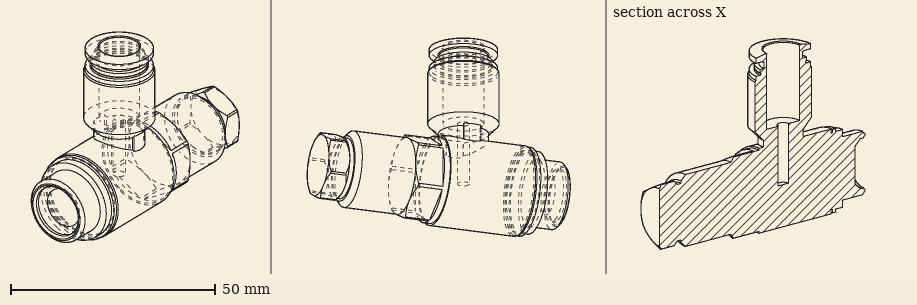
import cadquery as cq
import math


THREAD_END = 6.95
FLANGE_END = 9.05
WASHER_END = 10.05
BARREL_START = 10.5
BARREL_END = 32.6
HEX_START = 34.1
HEX_END = 41.2
SLEEVE_CHAMFER = 1.4
SLEEVE_END = 56.55
NUT_START = 57.7
LENGTH = 63.2

THREAD_DIAMETER = 16.75
FLANGE_DIAMETER = 20.5
WASHER_DIAMETER = 22.0
GROOVE_DIAMETER = 20.15
BARREL_DIAMETER = 22.4
COLLAR_DIAMETER = 21.4
SLEEVE_DIAMETER = 18.95
REAR_NECK_DIAMETER = 15.0
THREAD_CHAMFER = (THREAD_DIAMETER - 15.0) / 2

HEX_FLATS = SLEEVE_DIAMETER
HEX_CORNERS = COLLAR_DIAMETER
HEX_CHAMFER_LENGTH = 0.75
NUT_FLATS = 15.0
NUT_CORNERS = 17.0
NUT_FRONT_CHAMFER = 0.95
NUT_REAR_CHAMFER = 0.6
NUT_CHAMFER_DEPTH = 0.95

SOCKET_MOUTH_DIAMETER = 14.2
SOCKET_DIAMETER = 13.0
SOCKET_FLOOR_DIAMETER = 10.0
SOCKET_LEAD_IN = (SOCKET_MOUTH_DIAMETER - SOCKET_DIAMETER) / 2
SOCKET_STRAIGHT_END = 1.4
SOCKET_DEPTH = 3.05

BRANCH_Y = 25.15
BRANCH_NECK_DIAMETER = 12.4
BRANCH_DIAMETER = 17.5
RIM_DIAMETER = 16.8
RING_DIAMETER = 14.35
RING_GROOVE_DIAMETER = 13.7
STEM_DIAMETER = 12.0
STEM_FLARE = 0.25
NECK_TOP = 12.95
CONE_TOP = 15.6
BRANCH_SHOULDER = 28.75
RIM_START = 29.15
RIM_TOP = 30.2
RING_START = 30.8
RING_GROOVE = (RIM_TOP + RING_START) / 2
RING_TOP = 31.7
DISC_START = 33.5
DISC_TOP = 34.95
BRANCH_TOP = 35.5

BORE_DIAMETER = 10.0
BORE_MOUTH_DIAMETER = 10.5
BORE_CHAMFER = (BORE_MOUTH_DIAMETER - BORE_DIAMETER) / 2
BORE_FLOOR = CONE_TOP
PASSAGE_DIAMETER = 3.0

RIB_DIAMETER = 13.3
RIB_WIDTH = 4.4


def turned_on_y(profile):
    """Revolve (radius, y) points about the body axis."""
    points = [(0, profile[0][1])] + profile + [(0, profile[-1][1])]
    return cq.Workplane("XY").polyline(points).close().revolve(360, (0, 0), (0, 1))


def turned_on_branch(profile):
    """Revolve (radius, z) points about the branch axis."""
    points = [(0, profile[0][1])] + profile + [(0, profile[-1][1])]
    blank = cq.Workplane("XZ").polyline(points).close().revolve(360, (0, 0), (0, 1))
    return blank.translate((0, BRANCH_Y, 0))


def cylinder_profile(diameter, start, end):
    return [(diameter / 2, start), (diameter / 2, end)]


def hexagon(flats, start, end, envelope):
    """Hexagonal bar with corners up and down, trimmed by a turned envelope."""
    bar = (
        cq.Workplane("XZ", origin=(0, start, 0))
        .transformed(rotate=(0, 0, 90))
        .polygon(6, flats / math.cos(math.pi / 6))
        .extrude(start - end)
    )
    return bar.intersect(turned_on_y(envelope))


def make_body():
    thread_radius = THREAD_DIAMETER / 2
    sleeve_radius = SLEEVE_DIAMETER / 2
    profile = [(thread_radius - THREAD_CHAMFER, 0), (thread_radius, THREAD_CHAMFER), (thread_radius, THREAD_END)]
    profile += cylinder_profile(FLANGE_DIAMETER, THREAD_END, FLANGE_END)
    profile += cylinder_profile(WASHER_DIAMETER, FLANGE_END, WASHER_END)
    profile += cylinder_profile(GROOVE_DIAMETER, WASHER_END, BARREL_START)
    profile += cylinder_profile(BARREL_DIAMETER, BARREL_START, BARREL_END)
    profile += cylinder_profile(COLLAR_DIAMETER, BARREL_END, HEX_START)
    profile += cylinder_profile(REAR_NECK_DIAMETER, HEX_START, HEX_END)
    profile += cylinder_profile(SLEEVE_DIAMETER, HEX_END, SLEEVE_END - SLEEVE_CHAMFER)
    profile.append((sleeve_radius - SLEEVE_CHAMFER, SLEEVE_END))
    profile += cylinder_profile(REAR_NECK_DIAMETER, SLEEVE_END, NUT_START)
    return turned_on_y(profile)


def make_body_hexagon():
    envelope = cylinder_profile(HEX_CORNERS, HEX_START, HEX_END - HEX_CHAMFER_LENGTH)
    envelope.append((SLEEVE_DIAMETER / 2, HEX_END))
    return hexagon(HEX_FLATS, HEX_START, HEX_END, envelope)


def make_rear_nut():
    end_radius = NUT_CORNERS / 2 - NUT_CHAMFER_DEPTH
    envelope = [(end_radius, NUT_START)]
    envelope += cylinder_profile(NUT_CORNERS, NUT_START + NUT_FRONT_CHAMFER, LENGTH - NUT_REAR_CHAMFER)
    envelope.append((end_radius, LENGTH))
    return hexagon(NUT_FLATS, NUT_START, LENGTH, envelope)


def make_branch():
    profile = cylinder_profile(BRANCH_NECK_DIAMETER, 0, NECK_TOP)
    profile += cylinder_profile(BRANCH_DIAMETER, CONE_TOP, BRANCH_SHOULDER)
    profile += cylinder_profile(RIM_DIAMETER, RIM_START, RIM_TOP)
    profile += [(RING_DIAMETER / 2, RIM_TOP), (RING_GROOVE_DIAMETER / 2, RING_GROOVE)]
    profile += cylinder_profile(RING_DIAMETER, RING_START, RING_TOP)
    profile += cylinder_profile(STEM_DIAMETER, RING_TOP, DISC_START - STEM_FLARE)
    profile += [(STEM_DIAMETER / 2 + STEM_FLARE, DISC_START)]
    profile += cylinder_profile(RIM_DIAMETER, DISC_START, DISC_TOP)
    profile += [(BORE_MOUTH_DIAMETER / 2, BRANCH_TOP)]
    return turned_on_branch(profile)


def make_ribs():
    drum = turned_on_branch(cylinder_profile(RIB_DIAMETER, 0, CONE_TOP))
    slab = cq.Workplane("XY").box(RIB_DIAMETER, RIB_WIDTH, CONE_TOP, centered=(True, True, False))
    return drum.intersect(slab.translate((0, BRANCH_Y, 0)))


def make_front_socket():
    return turned_on_y([
        (SOCKET_MOUTH_DIAMETER / 2, 0),
        (SOCKET_DIAMETER / 2, SOCKET_LEAD_IN),
        (SOCKET_DIAMETER / 2, SOCKET_STRAIGHT_END),
        (SOCKET_FLOOR_DIAMETER / 2, SOCKET_DEPTH),
    ])


def make_tube_bore():
    profile = cylinder_profile(PASSAGE_DIAMETER, 0, BORE_FLOOR)
    profile += cylinder_profile(BORE_DIAMETER, BORE_FLOOR, BRANCH_TOP - BORE_CHAMFER)
    profile.append((BORE_MOUTH_DIAMETER / 2, BRANCH_TOP))
    return turned_on_branch(profile)


result = make_body()
for addition in (make_body_hexagon(), make_rear_nut(), make_branch(), make_ribs()):
    result = result.union(addition)
result = result.cut(make_front_socket()).cut(make_tube_bore())